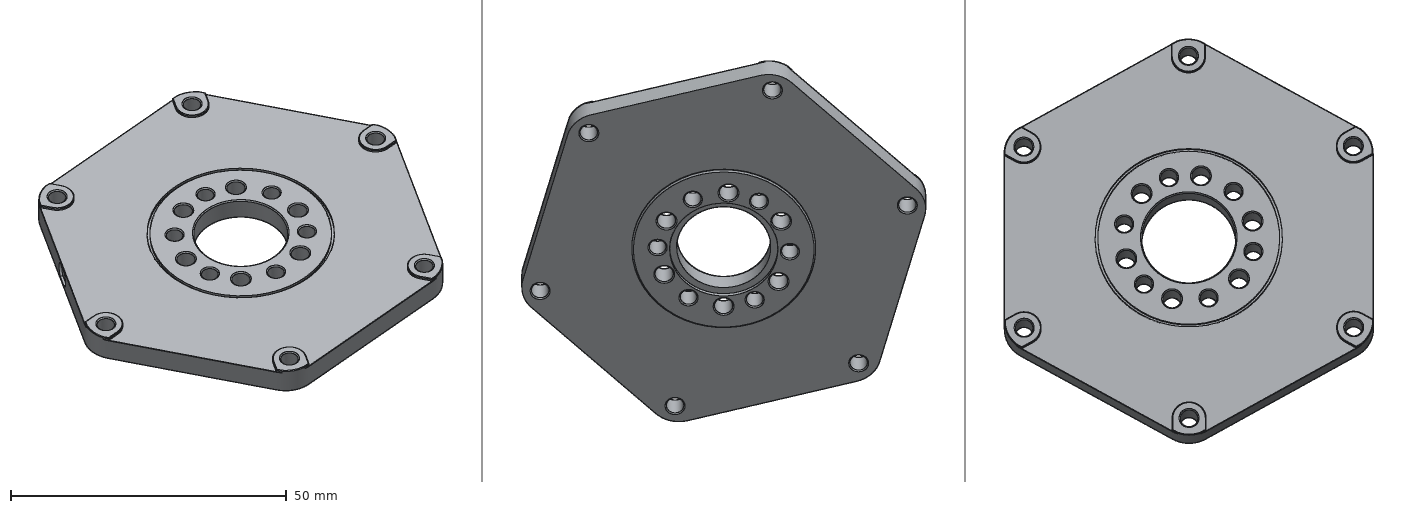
import cadquery as cq
import math

overall_length = 75.5
overall_height = 5.5
step_height = 0.5
plate_thickness = overall_height - 2 * step_height
boss_top = plate_thickness + step_height
disc_bottom = -step_height
corner_radius = 6.0
side_count = 6
side_angle = 360 / side_count
edge_chamfer = 0.1

corner_centre_radius = overall_length / 2 - corner_radius
apothem = corner_centre_radius * math.cos(math.radians(side_angle / 2)) + corner_radius

boss_circle_radius = 34.5
boss_radius = 3.1
boss_chamfer = 0.15
boss_hole_radius = 1.6
hole_chamfer = 0.2

groove_outer_radius = 17.0
groove_width = 0.5
groove_depth = 0.5
disc_radius = 16.7
disc_chamfer = 0.3

bore_radius = 8.5
counterbore_radius = 9.8
counterbore_depth = 0.8
ring_radius = 12.0
small_hole_radius = 1.5
large_hole_radius = 1.65
small_hole_angle = 17.3
large_hole_angles = (45.3, 109.3)

pocket_radius = 2.3
pocket_height = 3.5
pocket_depth = 0.5
pocket_face_angle = 180 + side_angle / 2


def polar_points(radius, start_angle, count):
    """Points evenly spaced around the Z axis."""
    angles = [math.radians(start_angle + i * 360 / count) for i in range(count)]
    return [(radius * math.cos(angle), radius * math.sin(angle)) for angle in angles]


def hexagon(flat_distance, height):
    """Sharp hexagonal prism standing on Z = 0."""
    vertex_radius = flat_distance / math.cos(math.radians(side_angle / 2))
    return cq.Workplane("XY").polygon(side_count, 2 * vertex_radius).extrude(height)


def rounded_hexagon(height):
    """Hexagonal prism with rounded corners, standing on Z = 0."""
    return hexagon(apothem, height).edges("|Z").fillet(corner_radius)


def plate():
    """Plate whose flat sides, but not its corners, are chamfered along the top."""
    chamfered = hexagon(apothem, plate_thickness).faces(">Z").chamfer(edge_chamfer)
    return rounded_hexagon(plate_thickness).intersect(chamfered)


def corner_boss():
    """U-shaped boss that follows the rounded corner on the +X side."""
    boss = (
        cq.Workplane("XY")
        .moveTo(overall_length, -boss_radius)
        .lineTo(boss_circle_radius, -boss_radius)
        .threePointArc((boss_circle_radius - boss_radius, 0), (boss_circle_radius, boss_radius))
        .lineTo(overall_length, boss_radius)
        .close()
        .extrude(boss_top)
    )
    boss = boss.intersect(rounded_hexagon(boss_top))
    boss = boss.intersect(hexagon(apothem - edge_chamfer, boss_top))
    return boss.faces(">Z").chamfer(boss_chamfer)


def underside_disc():
    """Low disc below the plate with a chamfered lower edge."""
    disc = cq.Workplane("XY").circle(disc_radius).extrude(-step_height)
    return disc.faces("<Z").chamfer(disc_chamfer)


def top_groove():
    """Narrow circular groove sunk into the top of the plate."""
    top = cq.Workplane("XY", origin=(0, 0, plate_thickness))
    return top.circle(groove_outer_radius).circle(groove_outer_radius - groove_width).extrude(-groove_depth)


def through_hole(radius, bottom_z, top_z):
    """Cutter on the Z axis for a through hole with 45 degree chamfers at both ends."""
    profile = [
        (0, bottom_z),
        (radius + hole_chamfer, bottom_z),
        (radius, bottom_z + hole_chamfer),
        (radius, top_z - hole_chamfer),
        (radius + hole_chamfer, top_z),
        (0, top_z),
    ]
    return cq.Workplane("XZ").polyline(profile).close().revolve(360, (0, 0), (0, 1))


def bore():
    """Cutter for the central bore, chamfered on top and counterbored from below."""
    bottom = cq.Workplane("XY", origin=(0, 0, disc_bottom))
    counterbore = bottom.circle(counterbore_radius).extrude(counterbore_depth)
    return through_hole(bore_radius, disc_bottom, plate_thickness).union(counterbore)


def edge_pocket():
    """Round pocket trimmed flat at top and bottom, sunk into one edge face."""
    face = cq.Workplane("YZ", origin=(apothem, 0, plate_thickness / 2))
    pocket = face.circle(pocket_radius).extrude(-pocket_depth)
    trim = face.rect(2 * pocket_radius, pocket_height).extrude(-pocket_depth)
    return pocket.intersect(trim).rotate((0, 0, 0), (0, 0, 1), pocket_face_angle)


result = plate()
for i in range(side_count):
    result = result.union(corner_boss().rotate((0, 0, 0), (0, 0, 1), i * side_angle))

result = result.union(underside_disc()).cut(top_groove())
result = result.cut(bore())

large_points = []
for start_angle in large_hole_angles:
    large_points += polar_points(ring_radius, start_angle, side_count // 2)

small_points = polar_points(ring_radius, small_hole_angle, side_count)
boss_points = polar_points(boss_circle_radius, 0, side_count)
hole_groups = [
    (small_points, small_hole_radius, disc_bottom, plate_thickness),
    (large_points, large_hole_radius, disc_bottom, plate_thickness),
    (boss_points, boss_hole_radius, 0, boss_top),
]
for points, hole_radius, hole_bottom, hole_top in hole_groups:
    hole = through_hole(hole_radius, hole_bottom, hole_top)
    for x, y in points:
        result = result.cut(hole.translate((x, y, 0)))

result = result.cut(edge_pocket())